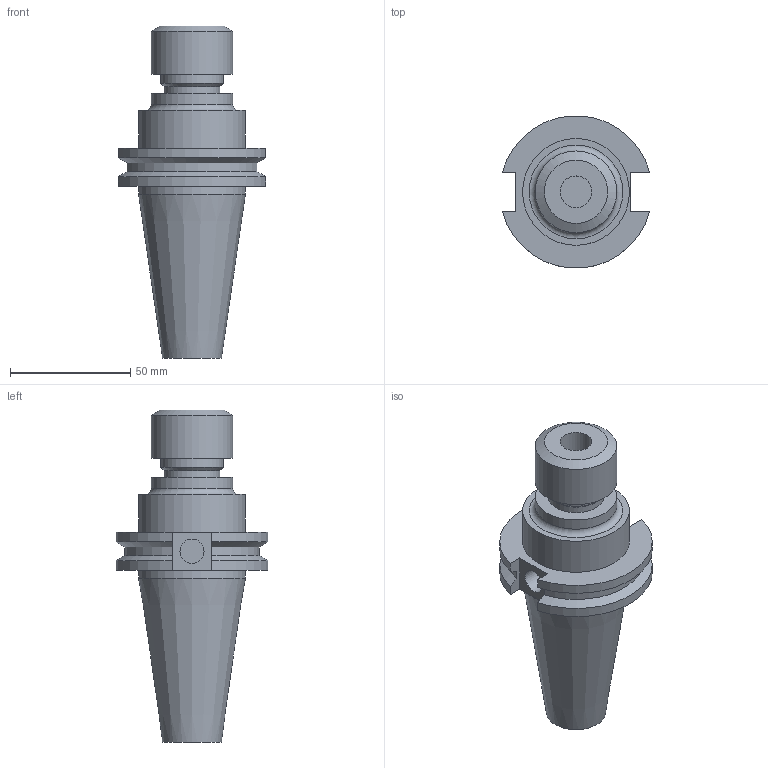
import cadquery as cq
import math


gauge_radius = 44.45 / 2
taper_length = 68.25
taper_ratio = 7 / 24
tail_radius = gauge_radius - taper_length * taper_ratio / 2

flange_radius = 63.5 / 2
flange_bottom = 3.18
flange_thickness = 15.88
flange_top = flange_bottom + flange_thickness
groove_center = 11.18
groove_floor_radius = 56.36 / 2
groove_floor_width = 3.6
groove_half_angle = 30
groove_depth = flange_radius - groove_floor_radius
groove_mouth_width = groove_floor_width + 2 * groove_depth * math.tan(math.radians(groove_half_angle))

slot_width = 16.38
slot_floor_minus_x = 25.0
slot_floor_plus_x = 22.6

side_hole_diameter = 10.0
side_hole_depth = 8.0

gauge_length = 70.0
body_radius = gauge_radius
body_top = gauge_length - 35.15
shoulder_radius = 17.0
shoulder_fillet = 2.5
shoulder_top = gauge_length - 28.0
neck_radius = 11.65
collar_radius = 12.95
collar_chamfer = collar_radius - neck_radius
collar_bottom = gauge_length - 23.9

nut_radius = 17.0
nut_length = 20.15
nut_bottom = gauge_length - nut_length
nut_face_radius = 13.2
nut_chamfer_angle = 30
nut_chamfer_height = (nut_radius - nut_face_radius) * math.tan(math.radians(nut_chamfer_angle))

bore_diameter = 13.2
bore_depth = gauge_length - shoulder_top


def make_turned_body():
    """Revolve the half profile: shank, flange, body, neck and nut."""
    fillet_sag = shoulder_fillet * (1 - math.sqrt(0.5))
    profile = (
        cq.Workplane("XZ")
        .moveTo(0, -taper_length)
        .lineTo(tail_radius, -taper_length)
        .lineTo(gauge_radius, 0)
        .lineTo(gauge_radius, flange_bottom)
        .lineTo(flange_radius, flange_bottom)
        .lineTo(flange_radius, flange_top)
        .lineTo(body_radius, flange_top)
        .lineTo(body_radius, body_top)
        .lineTo(shoulder_radius + shoulder_fillet, body_top)
        .threePointArc(
            (shoulder_radius + fillet_sag, body_top + fillet_sag),
            (shoulder_radius, body_top + shoulder_fillet),
        )
        .lineTo(shoulder_radius, shoulder_top)
        .lineTo(neck_radius, shoulder_top)
        .lineTo(neck_radius, collar_bottom - collar_chamfer)
        .lineTo(collar_radius, collar_bottom)
        .lineTo(collar_radius, nut_bottom)
        .lineTo(nut_radius, nut_bottom)
        .lineTo(nut_radius, gauge_length - nut_chamfer_height)
        .lineTo(nut_face_radius, gauge_length)
        .lineTo(0, gauge_length)
        .close()
    )
    return profile.revolve(360, (0, 0, 0), (0, 1, 0))


def make_flange_groove():
    """Ring that cuts the V groove around the flange."""
    profile = (
        cq.Workplane("XZ")
        .moveTo(groove_floor_radius, groove_center - groove_floor_width / 2)
        .lineTo(flange_radius, groove_center - groove_mouth_width / 2)
        .lineTo(flange_radius, groove_center + groove_mouth_width / 2)
        .lineTo(groove_floor_radius, groove_center + groove_floor_width / 2)
        .close()
    )
    return profile.revolve(360, (0, 0, 0), (0, 1, 0))


def make_drive_slot(side, floor_distance):
    """Block that cuts a drive slot; side is -1 or +1 along X."""
    block_length = flange_radius - floor_distance
    block_center_x = side * (floor_distance + block_length / 2)
    block_center_z = flange_bottom + flange_thickness / 2
    block = cq.Workplane("XY").box(block_length, slot_width, flange_thickness)
    return block.translate((block_center_x, 0, block_center_z))


def make_side_hole():
    """Radial blind hole running toward +X from the floor of the -X slot."""
    floor_plane = cq.Workplane("YZ", origin=(-slot_floor_minus_x, 0, groove_center))
    return floor_plane.circle(side_hole_diameter / 2).extrude(side_hole_depth)


def make_collet_bore():
    """Blind axial bore down from the nut face."""
    nut_face = cq.Workplane("XY", origin=(0, 0, gauge_length))
    return nut_face.circle(bore_diameter / 2).extrude(-bore_depth)


result = make_turned_body()
result = result.cut(make_flange_groove())
result = result.cut(make_drive_slot(-1, slot_floor_minus_x))
result = result.cut(make_drive_slot(1, slot_floor_plus_x))
result = result.cut(make_side_hole())
result = result.cut(make_collet_bore())